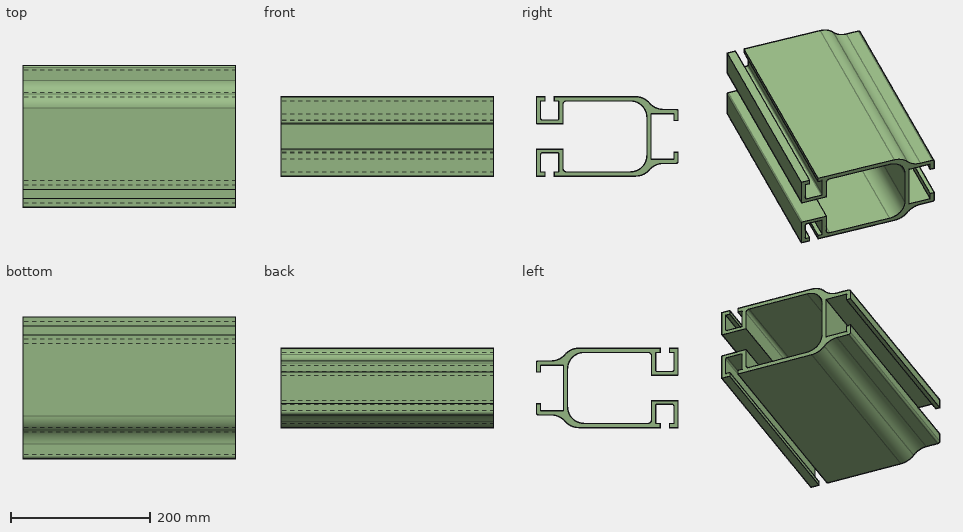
import cadquery as cq

length = 304.8
depth = 203.5
height = 114.3
wall = 6.5

flange_drop = 18.3
lip_height = 16.2
lip_corner_radius = 3.0
web_inset = 38.7
sweep_start_inset = 21.3
sweep_end_inset = 61.3

cavity_rear_radius = 23.5
cavity_front_radius = 5.0

box_width = 38.5
box_height = 39.0
box_floor = 5.5
box_corner_radius = 1.5
slot_front_radius = 2.0
slot_rear_radius = 1.2
mouth_front_inset = 12.8
mouth_width = 12.8

top = height / 2
rear = depth / 2
front = -depth / 2
flange_top = top - flange_drop
web_rear = rear - web_inset
web_front = web_rear - wall
box_rear = front + box_width
box_bottom = top - box_height
sweep_start = rear - sweep_start_inset
sweep_end = rear - sweep_end_inset


def block(y_min, y_max, z_min, z_max):
    """Full-length bar with the given Y and Z limits."""
    return cq.Workplane("XY").box(length, y_max - y_min, z_max - z_min).translate(
        (0, (y_min + y_max) / 2, (z_min + z_max) / 2)
    )


def make_shell():
    """Upper half of the hollow body, with S-curved shoulder and rear flange."""
    sweep_middle = ((sweep_start + sweep_end) / 2, (flange_top + top) / 2)
    shell = (
        cq.Workplane("YZ", origin=(-length / 2, 0, 0))
        .moveTo(front, 0)
        .lineTo(rear, 0)
        .lineTo(rear, flange_top - lip_corner_radius)
        .radiusArc((rear - lip_corner_radius, flange_top), -lip_corner_radius)
        .lineTo(sweep_start, flange_top)
        .tangentArcPoint(sweep_middle, relative=False)
        .tangentArcPoint((sweep_end, top), relative=False)
        .lineTo(front, top)
        .close()
        .extrude(length)
    )
    flange_bottom = flange_top - wall
    lip_bottom = flange_top - lip_height
    channel = block(web_rear, rear - wall, 0, flange_bottom)
    channel_mouth = block(rear - wall, rear, 0, lip_bottom)
    return shell.cut(channel).cut(channel_mouth)


def make_cavity():
    """Main cavity, rounded at both upper corners."""
    cavity = block(box_rear, web_front, 0, top - wall)
    cavity = cavity.edges("|X and >Z and >Y").fillet(cavity_rear_radius)
    return cavity.edges("|X and >Z and <Y").fillet(cavity_front_radius)


def cut_slot_box(body):
    """Shape the front of the body into a box with a slot opening at the top."""
    body = body.cut(block(front, box_rear, 0, box_bottom))
    corner = cq.selectors.NearestToPointSelector((0, front, box_bottom))
    body = body.edges(corner).fillet(box_corner_radius)
    slot = block(front + wall, box_rear - wall, box_bottom + box_floor, top - wall)
    slot = slot.edges("|X and <Z and <Y").fillet(slot_front_radius)
    slot = slot.edges("|X and <Z and >Y").fillet(slot_rear_radius)
    mouth_front = front + mouth_front_inset
    mouth = block(mouth_front, mouth_front + mouth_width, top - wall, top)
    return body.cut(slot).cut(mouth)


upper_half = cut_slot_box(make_shell().cut(make_cavity()))
result = upper_half.union(upper_half.mirror("XY"))